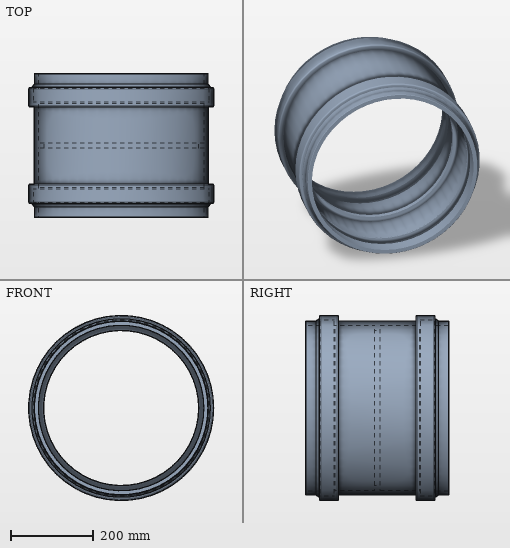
import cadquery as cq

length = 349.0
ring_diameter = 450.0
body_diameter = 424.0
end_diameter = 423.0
cone_diameter = 433.5
mouth_diameter = 402.0
bore_diameter = 401.8
groove_diameter = 428.0
stop_diameter = 376.0
stop_width = 12.5

cone_start = 25.5
cone_end = 33.0
ring_start = 33.7
ring_end = 81.0
groove_start = 36.0
groove_end = 69.5
bore_start = 72.5
ring_edge = 3.5
lip_edge = 1.0


def tube(outer_diameter, inner_diameter, start, width):
    """Hollow cylinder along +Y beginning at the given Y position."""
    plane = cq.Workplane("XZ", origin=(0, start, 0))
    return plane.circle(outer_diameter / 2).circle(inner_diameter / 2).extrude(-width)


def socket_half():
    """Half of the coupling, from the mouth at -Y to the mid-plane."""
    profile = (
        cq.Workplane("XY")
        .moveTo(mouth_diameter / 2, 0)
        .lineTo(end_diameter / 2 - lip_edge, 0)
        .lineTo(end_diameter / 2, lip_edge)
        .lineTo(end_diameter / 2, cone_start)
        .lineTo(cone_diameter / 2, cone_end)
        .lineTo(cone_diameter / 2, ring_start)
        .lineTo(ring_diameter / 2, ring_start)
        .lineTo(ring_diameter / 2, ring_end)
        .lineTo(body_diameter / 2, ring_end)
        .lineTo(body_diameter / 2, length / 2)
        .lineTo(bore_diameter / 2, length / 2)
        .lineTo(bore_diameter / 2, bore_start)
        .lineTo(mouth_diameter / 2, bore_start)
        .lineTo(mouth_diameter / 2, groove_end)
        .lineTo(groove_diameter / 2, groove_end)
        .lineTo(groove_diameter / 2, groove_start)
        .lineTo(mouth_diameter / 2, groove_start)
        .close()
    )
    half = profile.revolve(360, (0, 0, 0), (0, 1, 0))
    ring_corners = cq.selectors.RadiusNthSelector(-1)
    half = half.edges("%CIRCLE").edges(ring_corners).fillet(ring_edge)
    return half.translate((0, -length / 2, 0))


near_half = socket_half()
far_half = near_half.mirror("XZ")
pipe_stop = tube(body_diameter, stop_diameter, -stop_width / 2, stop_width)

result = near_half.union(far_half).union(pipe_stop).clean()